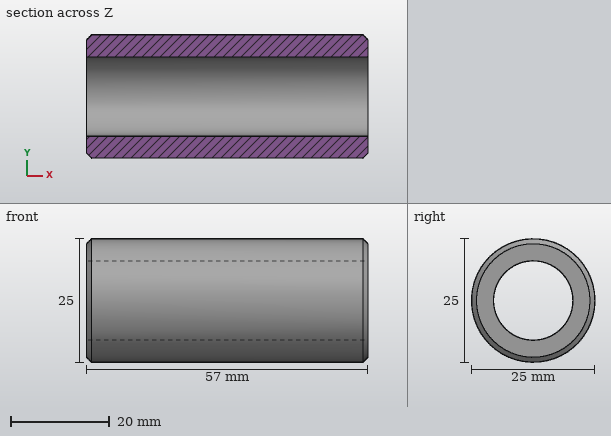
import cadquery as cq

length = 57.0
outer_diameter = 25.0
bore_diameter = 16.0
chamfer_size = 1.0

sleeve = (
    cq.Workplane("YZ", origin=(-length / 2, 0, 0))
    .circle(outer_diameter / 2)
    .circle(bore_diameter / 2)
    .extrude(length)
)

outer_rims = sleeve.faces("<X or >X").edges(cq.selectors.RadiusNthSelector(-1))
result = outer_rims.chamfer(chamfer_size)